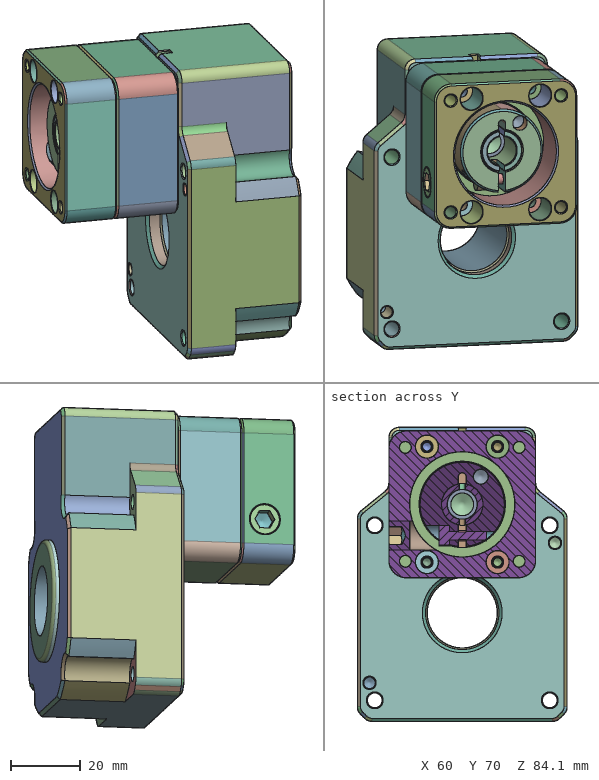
import cadquery as cq
import math


HOUSING_DEPTH = 34.0
PLATE_HALF_WIDTH = 30.0
PLATE_BOTTOM = -31.05
PLATE_DEPTH = 14.2
PLATE_CORNER_CUT = 3.0
SHOULDER_BOTTOM = 28.3
SHOULDER_TOP = 35.6
PLATE_FILLET = 3.0
HEAD_TOP = 53.05
HEAD_CORNER_RADIUS = 3.0
HOUSING_CHAMFER = 0.9
MOUNT_PITCH = 50.0
MOUNT_HOLE_DIAMETER = 4.2
MOUNT_HOLE_CHAMFER = 0.3
SCALLOP_RADIUS = 4.5
BARREL_RADIUS = 34.0
DOWEL_X = 26.5
DOWEL_Z = 20.0
DOWEL_DIAMETER = 3.3
DOWEL_CHAMFER = 0.25
DOWEL_DEPTH = 8.0

ROTOR_DIAMETER = 35.0
ROTOR_BORE = 20.0
ROTOR_START = 4.0
ROTOR_PROTRUSION = 2.0
ROTOR_FILLET = 1.0
ROTOR_BORE_CHAMFER = 0.5
ENTRY_DIAMETER = 21.0
ENTRY_CHAMFER = 0.9

FRAME_SIZE = 42.0
FRAME_HALF = FRAME_SIZE / 2
FRAME_CORNER_RADIUS = 5.0
FRAME_CHAMFER = 0.5
INPUT_Z = 31.0
GEARBOX_LENGTH = 18.5
GEARBOX_FRONT = -GEARBOX_LENGTH
PILOT_DIAMETER = 40.0
PILOT_LENGTH = 3.4
PILOT_CHAMFER = 0.5
COLLAR_RECESS_DIAMETER = 24.7
COLLAR_RECESS_DEPTH = 1.5

NOTCH_WIDTH = 2.2
NOTCH_LENGTH = 3.8
NOTCH_CHAMFER = 0.3

ADAPTER_LENGTH = 15.5
ADAPTER_FRONT = GEARBOX_FRONT - ADAPTER_LENGTH
FRONT_CHAMFER = 0.5
ADAPTER_BORE = 30.0
ADAPTER_BORE_CHAMFER = 0.5
MOTOR_BOLT_CIRCLE = 46.0
MOTOR_HOLE_DIAMETER = 3.3
MOTOR_HOLE_CHAMFER = 0.3
BOLT_PITCH_X = 20.2
BOLT_PITCH_Z = 33.0
BOLT_HEAD_DIAMETER = 6.5
BOLT_HEAD_CHAMFER = 0.15
BOLT_HEAD_DEPTH = 12.0
BOLT_CLEARANCE = 3.5
BOLT_PILOT = 2.5
BOLT_PILOT_CHAMFER = 0.25
BOLT_PILOT_DEPTH = 8.0

HUB_DIAMETER = 12.0
HUB_BORE = 8.5
HUB_CHAMFER = 0.25
HUB_BORE_DEPTH = 14.0
HUB_DRILL_DIAMETER = 6.5
HUB_FRONT = ADAPTER_FRONT + 4.6
HUB_SEAT_DEPTH = 6.0
HUB_SLOT_DEPTH = 10.0
HUB_SLOT_WIDTH = 1.6
COLLAR_SLOT_WIDTH = 2.2
COLLAR_DIAMETER = 24.2
COLLAR_LENGTH = 11.9
COLLAR_CHAMFER = 0.6
COLLAR_BORE_CHAMFER = 0.3
COLLAR_SLOT_TOP = 9.0
BALANCE_X = 5.3
BALANCE_Z = 7.9
BALANCE_DIAMETER = 4.2
BALANCE_DEPTH = 4.0
SCREW_DROP = 8.9
SCREW_Y = ADAPTER_FRONT + 8.9
SCREW_Z = INPUT_Z - SCREW_DROP
SCREW_DIAMETER = 3.0
SCREW_HEAD_DIAMETER = 6.0
SCREW_HEAD_LENGTH = 3.0
SCREW_HEAD_X = -6.7
SCREW_TIP_X = 7.0

PLUG_DIAMETER = 8.5
PLUG_LENGTH = 6.0
PLUG_HOLE_CHAMFER = 0.25
PLUG_HEX_FLATS = 5.0
PLUG_HEX_DEPTH = 3.5

DRILL_POINT_ANGLE = 118.0
ALONG_Y = cq.Vector(0, 1, 0)
ALONG_X = cq.Vector(1, 0, 0)


def cylinder(diameter, start, length, direction=ALONG_Y):
    """Cylinder from a start point along a direction."""
    return cq.Workplane(obj=cq.Solid.makeCylinder(diameter / 2, length, cq.Vector(*start), direction))


def cone(first_diameter, second_diameter, start, length, direction=ALONG_Y):
    """Cone frustum from a start point along a direction."""
    solid = cq.Solid.makeCone(first_diameter / 2, second_diameter / 2, length, cq.Vector(*start), direction)
    return cq.Workplane(obj=solid)


def drilled(diameter, start, depth, direction=ALONG_Y):
    """Blind drilled hole with a conical end."""
    tip_length = diameter / 2 / math.tan(math.radians(DRILL_POINT_ANGLE / 2))
    tip_start = cq.Vector(*start) + direction * depth
    hole = cylinder(diameter, start, depth, direction)
    return hole.union(cone(diameter, 0, tip_start.toTuple(), tip_length, direction))


def countersink(diameter, chamfer, start, direction=ALONG_Y):
    """45 degree mouth of a hole."""
    return cone(diameter + 2 * chamfer, diameter, start, chamfer, direction)


def box(x_range, y_range, z_range):
    """Block between pairs of limits."""
    size = [high - low for low, high in (x_range, y_range, z_range)]
    corner = cq.Vector(x_range[0], y_range[0], z_range[0])
    return cq.Workplane(obj=cq.Solid.makeBox(*size, corner))


def extrude_outline(points, start, end):
    """Prism along Y of an outline given as (x, z) points."""
    plane = cq.Workplane("XZ", origin=(0, start, 0))
    return plane.polyline(points).close().extrude(start - end)


def mirrored_points(x_pitch, z_pitch, centre_z):
    """Four (x, z) points of a centred rectangle."""
    return [
        (x_side * x_pitch / 2, centre_z + z_side * z_pitch / 2)
        for x_side in (-1, 1)
        for z_side in (-1, 1)
    ]


bolt_points = mirrored_points(BOLT_PITCH_X, BOLT_PITCH_Z, INPUT_Z)


def edges_at(body, x, z):
    """Edges along Y through the points (+-x, z)."""
    half = 0.1
    selectors = [
        cq.selectors.BoxSelector(
            (side * x - half, -1, z - half),
            (side * x + half, HOUSING_DEPTH + 1, z + half),
        )
        for side in (-1, 1)
    ]
    return body.edges("|Y").edges(selectors[0] + selectors[1])


def housing_blank():
    """Plate and head outline, with its corners rounded."""
    corners = [
        (PLATE_HALF_WIDTH - PLATE_CORNER_CUT, PLATE_BOTTOM, PLATE_FILLET),
        (PLATE_HALF_WIDTH, PLATE_BOTTOM + PLATE_CORNER_CUT, PLATE_FILLET),
        (PLATE_HALF_WIDTH, SHOULDER_BOTTOM, PLATE_FILLET),
        (FRAME_HALF, SHOULDER_TOP, PLATE_FILLET),
        (FRAME_HALF, HEAD_TOP, HEAD_CORNER_RADIUS),
    ]
    half_outline = [(x, z) for x, z, _ in corners]
    other_half = [(-x, z) for x, z in reversed(half_outline)]
    blank = extrude_outline(half_outline + other_half, 0, HOUSING_DEPTH)
    for x, z, radius in corners:
        blank = edges_at(blank, x, z).fillet(radius)
    return blank


def rear_trim():
    """What is removed behind the plate: all outside the barrel, except the head, and the scallops."""
    y_range = (PLATE_DEPTH, HOUSING_DEPTH)
    length = HOUSING_DEPTH - PLATE_DEPTH
    outside = box((-HEAD_TOP, HEAD_TOP), y_range, (-HEAD_TOP, 0))
    outside = outside.union(box((FRAME_HALF, HEAD_TOP), y_range, (0, HEAD_TOP)))
    outside = outside.union(box((-HEAD_TOP, -FRAME_HALF), y_range, (0, HEAD_TOP)))
    trim = outside.cut(cylinder(2 * BARREL_RADIUS, (0, PLATE_DEPTH, 0), length))
    for x, z in mirrored_points(MOUNT_PITCH, MOUNT_PITCH, 0):
        trim = trim.union(cylinder(2 * SCALLOP_RADIUS, (x, PLATE_DEPTH, z), length))
    return trim


def make_housing():
    body = housing_blank().cut(rear_trim())
    body = body.faces("<Y or >Y").edges().chamfer(HOUSING_CHAMFER)

    for x, z in mirrored_points(MOUNT_PITCH, MOUNT_PITCH, 0):
        body = body.cut(cylinder(MOUNT_HOLE_DIAMETER, (x, 0, z), PLATE_DEPTH))
        body = body.cut(countersink(MOUNT_HOLE_DIAMETER, MOUNT_HOLE_CHAMFER, (x, 0, z)))
    for side in (-1, 1):
        mouth = (side * DOWEL_X, 0, side * DOWEL_Z)
        body = body.cut(drilled(DOWEL_DIAMETER, mouth, DOWEL_DEPTH))
        body = body.cut(countersink(DOWEL_DIAMETER, DOWEL_CHAMFER, mouth))

    body = body.cut(cylinder(ENTRY_DIAMETER, (0, 0, 0), ROTOR_START))
    body = body.cut(countersink(ENTRY_DIAMETER, ENTRY_CHAMFER, (0, 0, 0)))
    body = body.cut(cylinder(ROTOR_DIAMETER, (0, ROTOR_START, 0), HOUSING_DEPTH - ROTOR_START))

    body = body.cut(cylinder(PILOT_DIAMETER, (0, 0, INPUT_Z), PILOT_LENGTH))
    half = NOTCH_WIDTH / 2
    notch = box((-half, half), (0, NOTCH_LENGTH), (INPUT_Z + FRAME_HALF - 2, HEAD_TOP))
    mouth_half = half + NOTCH_CHAMFER
    mouth = (
        cq.Workplane("XY", origin=(0, 0, HEAD_TOP))
        .rect(2 * mouth_half, 2 * (NOTCH_LENGTH + NOTCH_CHAMFER))
        .workplane(offset=-NOTCH_CHAMFER)
        .rect(NOTCH_WIDTH, 2 * NOTCH_LENGTH)
        .loft()
    )
    return body.cut(notch).cut(mouth)


def make_rotor():
    rotor_end = HOUSING_DEPTH + ROTOR_PROTRUSION
    body = cylinder(ROTOR_DIAMETER, (0, ROTOR_START, 0), rotor_end - ROTOR_START)
    body = body.faces(">Y").edges().fillet(ROTOR_FILLET)
    body = body.cut(cylinder(ROTOR_BORE, (0, ROTOR_START, 0), rotor_end - ROTOR_START))
    return body.cut(countersink(ROTOR_BORE, ROTOR_BORE_CHAMFER, (0, ROTOR_START, 0)))


def frame_block(start, end):
    """Square block with rounded corners, centred on the input axis."""
    plane = cq.Workplane("XZ", origin=(0, start, INPUT_Z))
    block = plane.rect(FRAME_SIZE, FRAME_SIZE).extrude(start - end)
    return block.edges("|Y").fillet(FRAME_CORNER_RADIUS)


def make_gearbox():
    body = frame_block(GEARBOX_FRONT, 0).faces("<Y or >Y").edges().chamfer(FRAME_CHAMFER)
    pilot = cylinder(PILOT_DIAMETER, (0, 0, INPUT_Z), PILOT_LENGTH)
    body = body.union(pilot.faces(">Y").edges().chamfer(PILOT_CHAMFER))
    centre = (0, GEARBOX_FRONT, INPUT_Z)
    body = body.cut(cylinder(COLLAR_RECESS_DIAMETER, centre, COLLAR_RECESS_DEPTH))
    body = body.cut(cylinder(HUB_DIAMETER, centre, HUB_SEAT_DEPTH))
    for x, z in bolt_points:
        mouth = (x, GEARBOX_FRONT, z)
        body = body.cut(drilled(BOLT_PILOT, mouth, BOLT_PILOT_DEPTH))
        body = body.cut(countersink(BOLT_PILOT, BOLT_PILOT_CHAMFER, mouth))
    return body


def make_adapter():
    body = frame_block(ADAPTER_FRONT, GEARBOX_FRONT)
    body = body.faces(">Y").edges().chamfer(FRAME_CHAMFER)
    body = body.faces("<Y").edges().chamfer(FRONT_CHAMFER)
    centre = (0, ADAPTER_FRONT, INPUT_Z)
    body = body.cut(cylinder(ADAPTER_BORE, centre, ADAPTER_LENGTH))
    body = body.cut(countersink(ADAPTER_BORE, ADAPTER_BORE_CHAMFER, centre))

    motor_pitch = MOTOR_BOLT_CIRCLE / math.sqrt(2)
    for x, z in mirrored_points(motor_pitch, motor_pitch, INPUT_Z):
        mouth = (x, ADAPTER_FRONT, z)
        body = body.cut(cylinder(MOTOR_HOLE_DIAMETER, mouth, ADAPTER_LENGTH))
        body = body.cut(countersink(MOTOR_HOLE_DIAMETER, MOTOR_HOLE_CHAMFER, mouth))
    for x, z in bolt_points:
        mouth = (x, ADAPTER_FRONT, z)
        body = body.cut(cylinder(BOLT_HEAD_DIAMETER, mouth, BOLT_HEAD_DEPTH))
        body = body.cut(countersink(BOLT_HEAD_DIAMETER, BOLT_HEAD_CHAMFER, mouth))
        body = body.cut(cylinder(BOLT_CLEARANCE, mouth, ADAPTER_LENGTH))

    access = (-FRAME_HALF, SCREW_Y, SCREW_Z)
    body = body.cut(cylinder(PLUG_DIAMETER, access, FRAME_HALF, ALONG_X))
    return body.cut(countersink(PLUG_DIAMETER, PLUG_HOLE_CHAMFER, access, ALONG_X))


def make_hub():
    centre = (0, HUB_FRONT, INPUT_Z)
    body = cylinder(HUB_DIAMETER, centre, GEARBOX_FRONT + HUB_SEAT_DEPTH - HUB_FRONT)
    body = body.faces("<Y").edges().chamfer(HUB_CHAMFER)
    body = body.cut(cylinder(HUB_BORE, centre, HUB_BORE_DEPTH))
    body = body.cut(countersink(HUB_BORE, HUB_CHAMFER, centre))
    body = body.cut(drilled(HUB_DRILL_DIAMETER, centre, HUB_BORE_DEPTH))
    half = HUB_SLOT_WIDTH / 2
    reach = HUB_DIAMETER / 2
    slot_end = HUB_FRONT + HUB_SLOT_DEPTH - half
    slot = box((-half, half), (HUB_FRONT, slot_end), (INPUT_Z - reach, INPUT_Z + reach))
    end_start = (0, slot_end, INPUT_Z - reach)
    slot_round = cylinder(HUB_SLOT_WIDTH, end_start, HUB_DIAMETER, cq.Vector(0, 0, 1))
    return body.cut(slot).cut(slot_round)


def make_collar():
    centre = (0, HUB_FRONT, INPUT_Z)
    body = cylinder(COLLAR_DIAMETER, centre, COLLAR_LENGTH).edges().chamfer(COLLAR_CHAMFER)
    body = body.cut(cylinder(HUB_DIAMETER, centre, COLLAR_LENGTH))
    body = body.cut(countersink(HUB_DIAMETER, COLLAR_BORE_CHAMFER, centre))
    half = COLLAR_SLOT_WIDTH / 2
    slot_top = INPUT_Z + COLLAR_SLOT_TOP - half
    y_range = (HUB_FRONT, HUB_FRONT + COLLAR_LENGTH)
    body = body.cut(box((-half, half), y_range, (INPUT_Z - COLLAR_DIAMETER, slot_top)))
    body = body.cut(cylinder(COLLAR_SLOT_WIDTH, (0, HUB_FRONT, slot_top), COLLAR_LENGTH))
    balance_hole = (BALANCE_X, HUB_FRONT, INPUT_Z + BALANCE_Z)
    body = body.cut(drilled(BALANCE_DIAMETER, balance_hole, BALANCE_DEPTH))
    far_side = (-COLLAR_DIAMETER / 2, SCREW_Y, SCREW_Z)
    seat_length = SCREW_HEAD_X + SCREW_HEAD_LENGTH + COLLAR_DIAMETER / 2
    body = body.cut(cylinder(SCREW_DIAMETER, far_side, COLLAR_DIAMETER, ALONG_X))
    return body.cut(cylinder(SCREW_HEAD_DIAMETER, far_side, seat_length, ALONG_X))


def make_clamp_screw():
    start = (SCREW_HEAD_X, SCREW_Y, SCREW_Z)
    head = cylinder(SCREW_HEAD_DIAMETER, start, SCREW_HEAD_LENGTH, ALONG_X)
    return head.union(cylinder(SCREW_DIAMETER, start, SCREW_TIP_X - SCREW_HEAD_X, ALONG_X))


def make_plug():
    start = (-FRAME_HALF, SCREW_Y, SCREW_Z)
    hex_corners = PLUG_HEX_FLATS / math.cos(math.radians(30))
    hex_prism = (
        cq.Workplane("YZ", origin=start)
        .polygon(6, hex_corners)
        .extrude(PLUG_LENGTH)
    )
    socket = hex_prism.intersect(drilled(hex_corners, start, PLUG_HEX_DEPTH, ALONG_X))
    return cylinder(PLUG_DIAMETER, start, PLUG_LENGTH, ALONG_X).cut(socket)


housing = make_housing()
rotor = make_rotor()
gearbox = make_gearbox()
adapter = make_adapter()
hub = make_hub()
collar = make_collar()
clamp_screw = make_clamp_screw()
plug = make_plug()

result = cq.Compound.makeCompound(
    [body.val() for body in (housing, rotor, gearbox, adapter, hub, collar, clamp_screw, plug)]
)